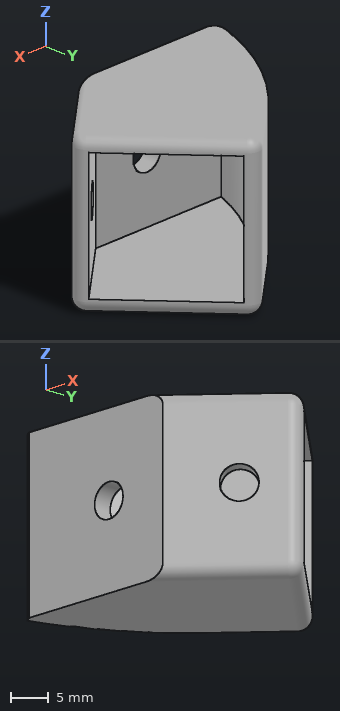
import cadquery as cq
import math

height = 26.0
bend = math.radians(41)
edge_radius = 2.0
nose_radius = 3.0
back_radius = 44.93
back_start = (12.65, 21.6)
back_length = 14.95
arm_width = 25.4
front_wall = 3.0
wall = 2.4
hole_diameter = 5.25
front_hole_x = 16.55
slanted_hole_x = 34.2
overrun = 7.95

along = (math.cos(bend), math.sin(bend))
inward = (-math.sin(bend), math.cos(bend))


def shift(point, direction, distance):
    """Move a plan point along a unit direction."""
    return (point[0] + distance * direction[0], point[1] + distance * direction[1])


def direction_between(start, end):
    """Unit plan direction from one point to another."""
    length = math.dist(start, end)
    return ((end[0] - start[0]) / length, (end[1] - start[1]) / length)


back_center = shift(back_start, inward, -back_radius)
back_corner = shift(back_start, along, back_length)
slanted_corner = shift(back_corner, inward, -arm_width)


def prism(front_y, inset, end_extension, tall):
    """Upright body with the part's plan, inset from the back and slanted face."""
    radius = back_radius - inset
    curve_top = shift(back_start, inward, -inset)
    curve_end_x = back_center[0] - math.sqrt(radius**2 - (front_y - back_center[1])**2)
    curve_end = (curve_end_x, front_y)
    chord_middle = ((curve_top[0] + curve_end[0]) / 2, (curve_top[1] + curve_end[1]) / 2)
    curve_middle = shift(back_center, direction_between(back_center, chord_middle), radius)
    end_back = shift(shift(back_corner, inward, -inset), along, end_extension)
    end_slanted = shift(shift(slanted_corner, inward, inset), along, end_extension)
    front_slanted = shift(end_slanted, along, (front_y - end_slanted[1]) / along[1])
    return (
        cq.Workplane("XY")
        .moveTo(*curve_end)
        .threePointArc(curve_middle, curve_top)
        .lineTo(*end_back)
        .lineTo(*end_slanted)
        .lineTo(*front_slanted)
        .close()
        .extrude(tall / 2, both=True)
    )


def rounded_body():
    """Rounded solid, sliced flat at Y = 0 so the front face keeps a crisp border."""
    body = prism(-overrun, 0, 0, height)
    body = body.edges("|Z").edges(">Y or >X").fillet(edge_radius)
    body = body.faces("<Z or >Z").edges("not <Y").fillet(edge_radius)
    slice_size = 159.05
    front_slice = cq.Workplane("XY").box(slice_size, slice_size, slice_size)
    return body.cut(front_slice.translate((0, -slice_size / 2, 0)))


def nose_cutter():
    """Material outside the upright nose rounding, which touches X = 0 and the back curve."""
    center_x = nose_radius
    reach = back_radius - nose_radius
    center_y = back_center[1] + math.sqrt(reach**2 - (center_x - back_center[0])**2)
    nose_center = (center_x, center_y)
    back_touch = shift(nose_center, direction_between(back_center, nose_center), nose_radius)
    front_meet_x = center_x - math.sqrt(nose_radius**2 - center_y**2)
    return (
        cq.Workplane("XY")
        .moveTo(*back_touch)
        .threePointArc((0, center_y), (front_meet_x, 0))
        .lineTo(front_meet_x, -overrun)
        .lineTo(-overrun, -overrun)
        .lineTo(-overrun, back_touch[1])
        .close()
        .extrude(height, both=True)
    )


def wall_hole(point, normal, thickness):
    """Round tool through one wall, starting outside it at mid height."""
    start = shift(point, normal, -overrun)
    plane = cq.Plane(origin=(*start, 0), xDir=(0, 0, 1), normal=(*normal, 0))
    return cq.Workplane(plane).circle(hole_diameter / 2).extrude(2 * overrun + thickness)


hollow = prism(front_wall, wall, overrun, height - 2 * wall)

front_hole_point = (front_hole_x, 0)
slanted_hole_point = shift(slanted_corner, along, (slanted_hole_x - slanted_corner[0]) / along[0])

result = (
    rounded_body()
    .cut(nose_cutter())
    .cut(hollow)
    .cut(wall_hole(front_hole_point, (0, 1), front_wall))
    .cut(wall_hole(slanted_hole_point, inward, wall))
)